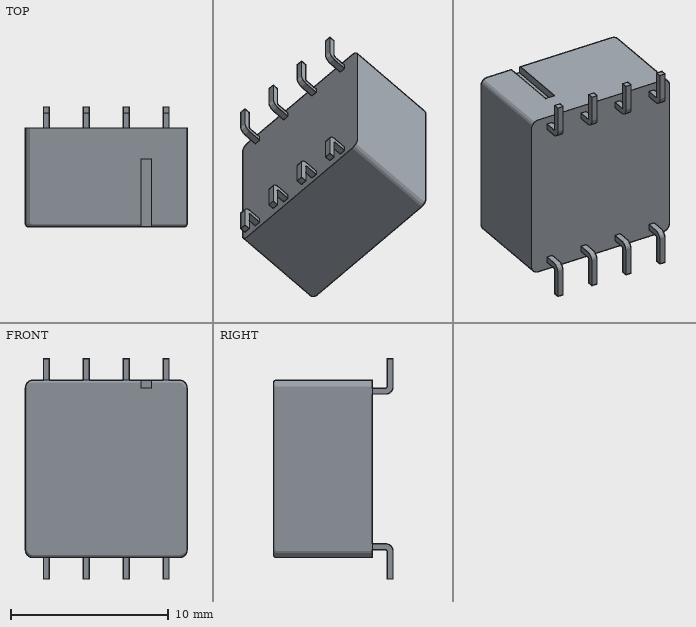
import cadquery as cq


total_height = 14.02
total_depth = 7.63

housing_width = 10.3
housing_depth = 6.3
housing_height = 11.3
corner_radius = 0.5
front_edge_radius = 0.2

pin_pitch = 2.54
pins_per_row = 4
pin_thickness = 0.39
pin_inner_radius = 0.1
pin_outer_radius = pin_inner_radius + pin_thickness
pin_foot_length = 2.26
pin_tip_z = total_height / 2
pin_root_z = pin_tip_z - pin_foot_length
pin_reach = total_depth - housing_depth

slot_width = 0.67
slot_length = 4.3
slot_depth = 0.5
slot_x = pin_pitch


def make_housing():
    """Box with rounded long edges, a rounded front rim and a marker slot."""
    box = cq.Workplane("XY").box(
        housing_width, housing_depth, housing_height, centered=(True, False, True)
    ).translate((0, -housing_depth, 0))
    rounded = box.edges("|Y").fillet(corner_radius).faces("<Y").edges().fillet(front_edge_radius)
    slot = cq.Workplane("XY").box(
        slot_width, slot_length, slot_depth, centered=(True, False, False)
    ).translate((slot_x, -housing_depth, housing_height / 2 - slot_depth))
    return rounded.cut(slot)


def make_upper_pin(x):
    """Square pin that leaves the back face and bends upward to its tip."""
    profile = (
        cq.Workplane("YZ", origin=(x - pin_thickness / 2, 0, 0))
        .moveTo(0, pin_root_z)
        .lineTo(pin_reach - pin_outer_radius, pin_root_z)
        .radiusArc((pin_reach, pin_root_z + pin_outer_radius), -pin_outer_radius)
        .lineTo(pin_reach, pin_tip_z)
        .lineTo(pin_reach - pin_thickness, pin_tip_z)
        .lineTo(pin_reach - pin_thickness, pin_root_z + pin_outer_radius)
        .radiusArc((pin_reach - pin_outer_radius, pin_root_z + pin_thickness), pin_inner_radius)
        .lineTo(0, pin_root_z + pin_thickness)
        .close()
    )
    return profile.extrude(pin_thickness)


housing = make_housing()

pins = []
for index in range(pins_per_row):
    pin_x = (index - (pins_per_row - 1) / 2) * pin_pitch
    upper_pin = make_upper_pin(pin_x)
    lower_pin = upper_pin.mirror("XY")
    pins.append(upper_pin.val())
    pins.append(lower_pin.val())

result = cq.Compound.makeCompound([housing.val(), *pins])